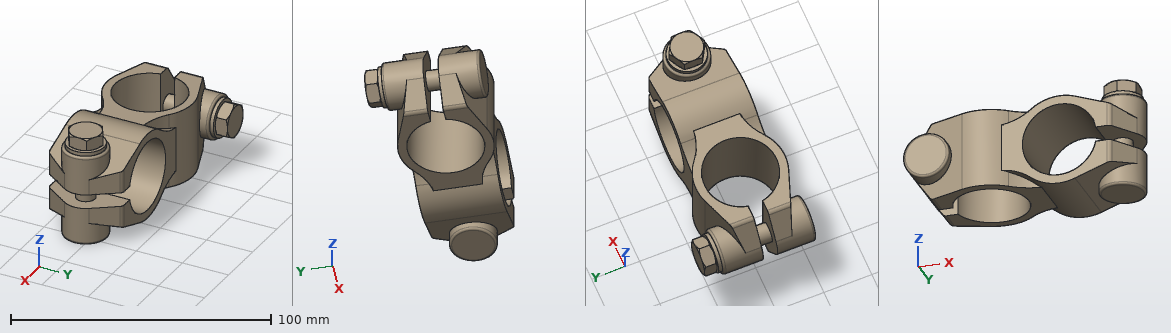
import cadquery as cq
import math

overall_length = 92.0
boss_diameter = 18.5
bore_offset = 16.4
bolt_offset = (overall_length - boss_diameter) / 2

clamp_width = 32.2
bore_diameter = 30.0
ring_radius = 18.6
jaw_end_half_height = 9.7
neck_half_height = 9.6
neck_fillet_radius = 22.1
slot_height = 6.0

taper_edge_radius = 2.0
taper_tangent_angle = math.acos(boss_diameter / clamp_width)
jaw_end = bolt_offset + boss_diameter / 2 * math.sin(taper_tangent_angle)
jaw_end_half_width = boss_diameter / 2 * math.cos(taper_tangent_angle)

boss_bottom = -19.1
boss_top = 19.5
boss_edge_radius = 0.9

shank_diameter = 8.0
washer_diameter = 16.0
washer_thickness = 1.6
head_height = 5.3
head_across_flats = 13.0
head_chamfer_angle = 30.0


def clamp_profile():
    """Side outline of one clamp: neck, ring and tapering jaws, symmetric about its middle line."""
    blend_height = neck_half_height + neck_fillet_radius
    centre_distance = ring_radius + neck_fillet_radius
    blend_angle = math.asin(blend_height / centre_distance)
    blend_x = bore_offset - centre_distance * math.cos(blend_angle)
    middle_angle = (blend_angle + math.pi / 2) / 2
    blend_middle = (
        blend_x + neck_fillet_radius * math.cos(middle_angle),
        blend_height - neck_fillet_radius * math.sin(middle_angle),
    )
    ring_start = (
        bore_offset - ring_radius * math.cos(blend_angle),
        ring_radius * math.sin(blend_angle),
    )

    jaw_reach = jaw_end - bore_offset
    corner_distance = math.hypot(jaw_reach, jaw_end_half_height)
    corner_angle = math.atan2(jaw_end_half_height, jaw_reach)
    tangent_angle = corner_angle + math.acos(ring_radius / corner_distance)
    ring_end = (
        bore_offset + ring_radius * math.cos(tangent_angle),
        ring_radius * math.sin(tangent_angle),
    )

    upper_half = (
        cq.Workplane("XZ")
        .moveTo(blend_x, 0)
        .lineTo(blend_x, neck_half_height)
        .threePointArc(blend_middle, ring_start)
        .threePointArc((bore_offset, ring_radius), ring_end)
        .lineTo(jaw_end, jaw_end_half_height)
        .lineTo(jaw_end, 0)
        .close()
        .extrude(clamp_width / 2, both=True)
    )
    return upper_half.union(upper_half.mirror("XY"))


def taper_envelope():
    """Upright block whose plan narrows toward the jaw end, with rounded corners where the taper starts."""
    half_width = clamp_width / 2
    outline = [
        (-overall_length, half_width),
        (bolt_offset, half_width),
        (jaw_end, jaw_end_half_width),
        (jaw_end, -jaw_end_half_width),
        (bolt_offset, -half_width),
        (-overall_length, -half_width),
    ]
    search_margin = 0.9
    taper_corners = cq.selectors.BoxSelector(
        (bolt_offset - search_margin, -clamp_width, -search_margin),
        (bolt_offset + search_margin, clamp_width, search_margin),
    )
    return (
        cq.Workplane("XY")
        .polyline(outline)
        .close()
        .extrude(ring_radius, both=True)
        .edges(taper_corners)
        .fillet(taper_edge_radius)
    )


def bolt_axis_cylinder(diameter, bottom, top):
    """Cylinder on the bolt axis between two heights."""
    return (
        cq.Workplane("XY", origin=(bolt_offset, 0, bottom))
        .circle(diameter / 2)
        .extrude(top - bottom)
    )


def clamp_body():
    """Clamp with its bolt boss and slot, before the bore is cut."""
    boss = (
        bolt_axis_cylinder(boss_diameter, boss_bottom, boss_top)
        .faces("<Z or >Z")
        .edges()
        .fillet(boss_edge_radius)
    )
    slot_length = overall_length / 2 - bore_offset
    slot = cq.Workplane("XY", origin=(bore_offset, 0, 0)).box(
        slot_length, clamp_width, slot_height, centered=(False, True, True)
    )
    return clamp_profile().intersect(taper_envelope()).union(boss).cut(slot)


def bore():
    """Through bore along Y."""
    return (
        cq.Workplane("XZ", origin=(bore_offset, 0, 0))
        .circle(bore_diameter / 2)
        .extrude(clamp_width, both=True)
    )


def bolt():
    """Shank across the slot, washer and hexagon head with both rims chamfered conically."""
    washer_top = boss_top + washer_thickness
    shank = bolt_axis_cylinder(shank_diameter, boss_bottom / 2, boss_top)
    washer = bolt_axis_cylinder(washer_diameter, boss_top, washer_top)

    flat_turn = 30.0
    across_corners = head_across_flats / math.cos(math.pi / 6)
    corner_overhang = (across_corners - head_across_flats) / 2
    chamfer_height = corner_overhang * math.tan(math.radians(head_chamfer_angle))
    head = (
        cq.Workplane("XY", origin=(bolt_offset, 0, washer_top))
        .polygon(6, across_corners)
        .extrude(head_height)
        .rotate((bolt_offset, 0, 0), (bolt_offset, 0, 1), flat_turn)
    )
    chamfered_blank = (
        bolt_axis_cylinder(across_corners, washer_top, washer_top + head_height)
        .faces("<Z or >Z")
        .edges()
        .chamfer(chamfer_height, corner_overhang)
    )
    return shank.union(washer).union(head.intersect(chamfered_blank))


def turned(shape):
    """Place a shape of the +X clamp on the -X side, its bore along Z and its bolt along Y."""
    return shape.rotate((0, 0, 0), (0, 0, 1), 180).rotate((0, 0, 0), (1, 0, 0), -90)


bodies = clamp_body().union(turned(clamp_body()))
bored = bodies.cut(bore()).cut(turned(bore()))
result = bored.union(bolt()).union(turned(bolt()))